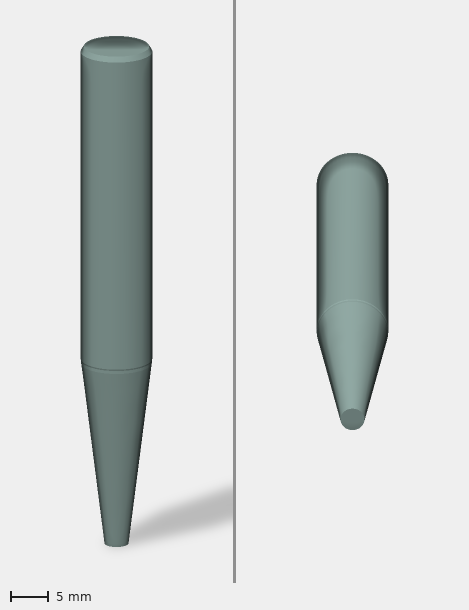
import cadquery as cq

total_length = 69.8
shank_diameter = 9.55
tip_diameter = 3.2

joint_height = 25.75
collar_height = 0.4
taper_length = joint_height - collar_height

chamfer_length = 0.7
chamfer_depth = 0.4

bevel_length = 0.2
bevel_depth = 0.1

shank_radius = shank_diameter / 2
collar_radius = shank_radius - bevel_depth
tip_radius = tip_diameter / 2


def revolved(profile):
    """Solid of revolution about Z from (radius, height) points."""
    return cq.Workplane("YZ").polyline(profile).close().revolve(360, (0, 0, 0), (0, 1, 0))


def make_shank():
    """Straight cylinder with a chamfered top edge and a slightly bevelled bottom edge."""
    return revolved([
        (0, joint_height),
        (collar_radius, joint_height),
        (shank_radius, joint_height + bevel_length),
        (shank_radius, total_length - chamfer_length),
        (shank_radius - chamfer_depth, total_length),
        (0, total_length),
    ])


def make_tapered_tip():
    """Cone with a flat end and a short straight collar against the shank."""
    return revolved([
        (0, 0),
        (tip_radius, 0),
        (collar_radius, taper_length),
        (collar_radius, joint_height),
        (0, joint_height),
    ])


shank = make_shank()
tapered_tip = make_tapered_tip()

result = cq.Compound.makeCompound([shank.val(), tapered_tip.val()])